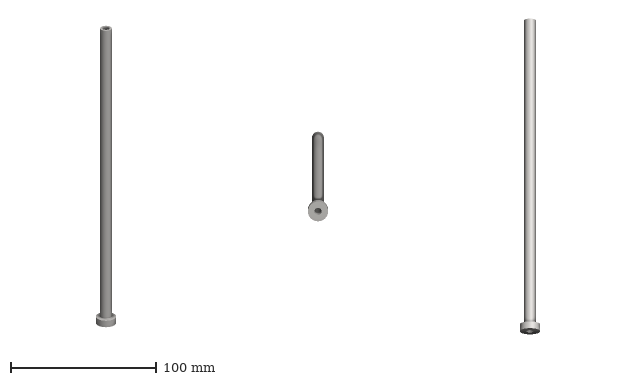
import cadquery as cq

total_length = 225.0
head_diameter = 14.0
head_height = 5.0
tube_diameter = 8.0
bore_diameter = 5.0
root_fillet_radius = 0.5

head = cq.Workplane("XY").circle(head_diameter / 2).extrude(head_height)

tube = cq.Workplane("XY").circle(tube_diameter / 2).extrude(total_length)
body = head.union(tube)

root_edge = cq.selectors.RadiusNthSelector(0)
body = body.faces("<Z[1]").edges(root_edge).fillet(root_fillet_radius)

bore = cq.Workplane("XY").circle(bore_diameter / 2).extrude(total_length)
result = body.cut(bore)